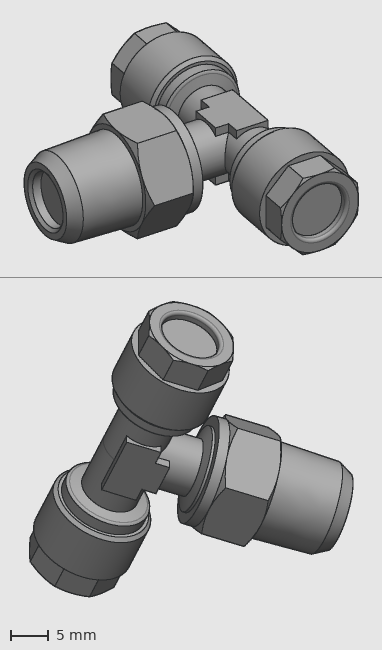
import cadquery as cq
import math


neck_radius = 4.0
block_reach = 4.5
block_half_width = 2.45

run_end = 21.6
sleeve_end = 17.63
octagon_flats = 12.0
sleeve_radius = 7.0
sleeve_start = 10.05
sleeve_chamfer = 0.5
shoulder_radius = octagon_flats / 2
shoulder_start = 8.45
shoulder_cone_start = 7.8
shoulder_cone_end = 8.2
shoulder_cone_radius = 5.57
shoulder_round = 0.85
run_bore_radius = 4.1
run_bore_round = 0.48
run_bore_depth = 1.2

branch_end = 29.6
branch_cone_start = 8.7
branch_shoulder_start = 9.2
collar_start = 9.6
hex_start = 11.1
hex_end = 18.55
hex_flats = 15.0
collar_radius = hex_flats / 2
thread_radius = 6.75
thread_tip_start = 27.65
thread_taper = 1 / 32
thread_tip_radius = 5.4
branch_bore_radius = 3.97
branch_bore_chamfer = 0.48
branch_bore_depth = 1.75

crown_slope = math.tan(math.radians(30))


def spin(outline):
    """Close an outline drawn as (radius, height) and revolve it around Z."""
    return outline.close().revolve(360, (0, 0, 0), (0, 1, 0))


def turned(profile):
    """Revolve a profile of straight lines through (radius, height) points around Z."""
    return spin(cq.Workplane("XZ").polyline(profile))


def wrench_prism(sides, flats, start, end):
    """Polygon prism along Z, one flat facing +Y, corners bevelled at both ends."""
    corner = flats / 2 / math.cos(math.pi / sides)
    bevel = (corner - flats / 2) * crown_slope
    prism = (
        cq.Workplane("XY")
        .workplane(offset=start)
        .transformed(rotate=(0, 0, 90 + 180 / sides))
        .polygon(sides, 2 * corner)
        .extrude(end - start)
    )
    envelope = turned([
        (0, start),
        (flats / 2, start),
        (corner, start + bevel),
        (corner, end - bevel),
        (flats / 2, end),
        (0, end),
    ])
    return prism.intersect(envelope)


def run_arm():
    """One tube end, built along +Z."""
    outline = (
        cq.Workplane("XZ")
        .lineTo(neck_radius, 0)
        .lineTo(neck_radius, shoulder_cone_start)
        .lineTo(shoulder_cone_radius, shoulder_cone_end)
        .radiusArc((shoulder_radius, shoulder_start), -shoulder_round)
        .lineTo(shoulder_radius, sleeve_start)
        .lineTo(sleeve_radius - sleeve_chamfer, sleeve_start)
        .lineTo(sleeve_radius, sleeve_start + sleeve_chamfer)
        .lineTo(sleeve_radius, sleeve_end)
        .lineTo(0, sleeve_end)
    )
    octagon = wrench_prism(8, octagon_flats, sleeve_start + sleeve_chamfer, run_end)
    bore_floor = run_end - run_bore_depth
    bore_outline = (
        cq.Workplane("XZ")
        .moveTo(0, bore_floor)
        .lineTo(run_bore_radius, bore_floor)
        .lineTo(run_bore_radius, run_end - run_bore_round)
        .radiusArc((run_bore_radius + run_bore_round, run_end), run_bore_round)
        .lineTo(0, run_end)
    )
    return spin(outline).union(octagon).cut(spin(bore_outline))


def branch_arm():
    """The threaded branch, built along +Z."""
    thread_small_radius = thread_radius - (thread_tip_start - hex_end) * thread_taper
    body = turned([
        (0, 0),
        (neck_radius, 0),
        (neck_radius, branch_cone_start),
        (shoulder_radius, branch_shoulder_start),
        (shoulder_radius, collar_start),
        (collar_radius, collar_start),
        (collar_radius, hex_start),
        (thread_radius, hex_start),
        (thread_radius, hex_end),
        (thread_small_radius, thread_tip_start),
        (thread_tip_radius, branch_end),
        (0, branch_end),
    ])
    hexagon = wrench_prism(6, hex_flats, hex_start, hex_end)
    bore_floor = branch_end - branch_bore_depth
    bore = turned([
        (0, bore_floor),
        (branch_bore_radius, bore_floor),
        (branch_bore_radius, branch_end - branch_bore_chamfer),
        (branch_bore_radius + branch_bore_chamfer, branch_end),
        (0, branch_end),
    ])
    return body.union(hexagon).cut(bore)


def tee_block():
    """T-shaped block standing proud above and below the necks."""
    bar = cq.Workplane("XY").box(2 * block_reach, 2 * block_half_width, 2 * block_reach)
    stem = (
        cq.Workplane("XY")
        .box(2 * block_half_width, block_reach, 2 * block_reach)
        .translate((0, -block_reach / 2, 0))
    )
    return bar.union(stem)


branch = branch_arm().rotate((0, 0, 0), (1, 0, 0), 90)
right_arm = run_arm().rotate((0, 0, 0), (0, 1, 0), 90)
left_arm = right_arm.mirror("YZ")

result = right_arm.union(left_arm).union(branch).union(tee_block())